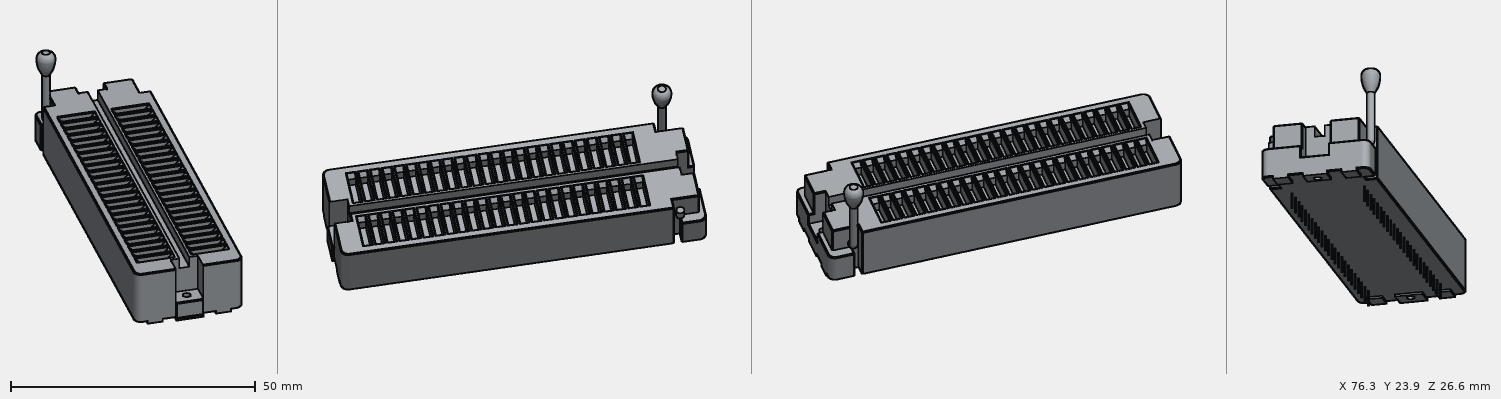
import cadquery as cq
import math


overall_length = 76.3
tab_length = 0.45
housing_length = overall_length - tab_length
housing_width = 22.9
housing_height = 11.6
corner_radius = 1.5
edge_chamfer = 0.2

block_length = 5.35
block_height = 6.25
tower_setback = 1.2
tower_half_width = 9.15
gap_end = 6.9

pocket_half_width = 2.9
pocket_floor = 3.75
front_pocket_depth = 3.8
rear_pocket_start = 72.0
mounting_hole_diameter = 1.6
mounting_hole_xs = (2.3, 73.8)

groove_width = 2.1
groove_depth = 2.3

contact_count = 24
slot_width = 2.1
slot_inner_y = 1.75
slot_outer_y = 9.8
slot_depth = 3.05
slot_end_ramp = 0.9
slot_side_chamfer = 0.2
first_slot_x = 12.6
slot_span = 57.5
slot_pitch = slot_span / (contact_count - 1)

foot_height = 0.45
front_foot_length = 3.6
rear_foot_start = 72.25
front_middle_foot_half_width = 2.5
side_foot_width = 3.2
side_foot_y = 7.25

pin_diameter = 0.3
pin_row_y = 7.6
pin_length = 3.2
first_pin_x = 10.45
pin_span = 58.45
pin_pitch = pin_span / (contact_count - 1)

rod_diameter = 1.7
rod_radius = rod_diameter / 2
bend_radius = rod_radius
lever_x = 5.4
arm_y = 10.4
axle_z = 7.3
stub_top = 9.3
knob_radius = 2.0
knob_bottom = 18.2
knob_widest_z = 22.0
knob_top = 23.4


def box(x_range, y_range, z_range):
    """Box between two limits on each axis."""
    (x0, x1), (y0, y1), (z0, z1) = x_range, y_range, z_range
    return cq.Workplane("XY").box(x1 - x0, y1 - y0, z1 - z0, centered=False).translate((x0, y0, z0))


def make_tall_part():
    """Full-height part: full width behind the shoulder, a narrower tower with the pocket in front."""
    half_width = housing_width / 2
    half_outline = [
        (front_pocket_depth, pocket_half_width),
        (tower_setback, pocket_half_width),
        (tower_setback, tower_half_width),
        (gap_end, tower_half_width),
        (gap_end, half_width),
        (housing_length, half_width),
    ]
    outline = half_outline + [(x, -y) for x, y in reversed(half_outline)]
    part = cq.Workplane("XY").polyline(outline).close().extrude(housing_height)
    part = part.edges("|Z and >X").fillet(corner_radius)

    corners = [(tower_setback, pocket_half_width), (tower_setback, tower_half_width), (gap_end, half_width)]
    for x, y in corners:
        for side in (1, -1):
            nearest = cq.selectors.NearestToPointSelector((x, side * y, housing_height / 2))
            part = part.edges("|Z").edges(nearest).chamfer(edge_chamfer)

    pocket_back = cq.selectors.NearestToPointSelector((front_pocket_depth, 0, housing_height))
    rim = part.faces(">Z").edges()
    back_edge = rim.edges(pocket_back).val()
    softened_rim = [edge for edge in rim.vals() if not edge.isSame(back_edge)]
    part = part.newObject(softened_rim).chamfer(edge_chamfer)
    return part.faces("<Z").edges().chamfer(edge_chamfer)


def make_front_block():
    """Low block under the lever, with rounded front corners, the pocket and softened edges."""
    half_width = housing_width / 2
    block = box((0, block_length), (-half_width, half_width), (0, block_height))
    block = block.edges("|Z and >X").chamfer(edge_chamfer)
    block = block.edges("|Z and <X").fillet(corner_radius)
    pocket = box(
        (0, front_pocket_depth),
        (-pocket_half_width, pocket_half_width),
        (pocket_floor, block_height),
    )
    block = block.cut(pocket)
    mouth = cq.selectors.BoxSelector(
        (-edge_chamfer, -pocket_half_width - edge_chamfer, pocket_floor - edge_chamfer),
        (edge_chamfer, pocket_half_width + edge_chamfer, block_height - edge_chamfer),
    )
    block = block.edges(mouth).chamfer(edge_chamfer)
    return block.faces("<Z or >Z").edges().chamfer(edge_chamfer)


def make_rear_tab():
    """Tab that carries the rear pocket floor out past the end face, with softened outer edges."""
    tab = box(
        (rear_pocket_start, overall_length),
        (-pocket_half_width, pocket_half_width),
        (0, pocket_floor),
    )
    return tab.faces(">X").edges().chamfer(edge_chamfer)


def make_feet():
    """Three feet under each end; the middle rear foot reaches out under the tab."""
    front = (0, front_foot_length)
    side_inner = side_foot_y - side_foot_width / 2
    side_outer = side_foot_y + side_foot_width / 2
    heights = (-foot_height, edge_chamfer)

    feet = box(
        (rear_foot_start, overall_length),
        (-pocket_half_width, pocket_half_width),
        (-foot_height, 0),
    )
    feet = feet.union(box(front, (-front_middle_foot_half_width, front_middle_foot_half_width), heights))
    for x_range in (front, (rear_foot_start, housing_length)):
        for y_range in ((side_inner, side_outer), (-side_outer, -side_inner)):
            feet = feet.union(box(x_range, y_range, heights))
    return feet


def make_slot_cutter():
    """Contact slot with chamfered long sides and ramped ends, centred on X = 0 on the +Y side."""
    top = housing_height
    bottom = top - slot_depth
    ramp_top = top - slot_side_chamfer
    half = slot_width / 2
    side_profile = [
        (slot_inner_y, top),
        (slot_inner_y, ramp_top),
        (slot_inner_y + slot_end_ramp, ramp_top - slot_end_ramp),
        (slot_inner_y + slot_end_ramp, bottom),
        (slot_outer_y - slot_end_ramp, bottom),
        (slot_outer_y - slot_end_ramp, ramp_top - slot_end_ramp),
        (slot_outer_y, ramp_top),
        (slot_outer_y, top),
    ]
    end_profile = [
        (-half, top),
        (-half + slot_side_chamfer, top - slot_side_chamfer),
        (-half + slot_side_chamfer, bottom),
        (half - slot_side_chamfer, bottom),
        (half - slot_side_chamfer, top - slot_side_chamfer),
        (half, top),
    ]
    lengthwise = cq.Workplane("YZ").polyline(side_profile).close().extrude(half, both=True)
    crosswise = cq.Workplane("XZ").polyline(end_profile).close().extrude(-housing_width / 2)
    return lengthwise.intersect(crosswise)


def make_housing():
    """Housing with its feet and solder pins as one solid."""
    housing = make_tall_part().union(make_front_block())

    rear_pocket = box(
        (rear_pocket_start, overall_length),
        (-pocket_half_width, pocket_half_width),
        (pocket_floor, housing_height),
    )
    groove = box(
        (front_pocket_depth, rear_pocket_start),
        (-groove_width / 2, groove_width / 2),
        (housing_height - groove_depth, housing_height),
    )
    housing = housing.cut(rear_pocket).cut(groove).union(make_rear_tab()).union(make_feet())

    mounting_holes = (
        cq.Workplane("XY", origin=(0, 0, -foot_height))
        .pushPoints([(x, 0) for x in mounting_hole_xs])
        .circle(mounting_hole_diameter / 2)
        .extrude(housing_height)
    )
    axle_bore = (
        cq.Workplane("XZ", origin=(lever_x, 0, axle_z))
        .circle(rod_radius)
        .extrude(housing_width / 2, both=True)
    )
    housing = housing.cut(mounting_holes).cut(axle_bore)

    slot = make_slot_cutter().val()
    second_row_offset = -slot_inner_y - slot_outer_y
    slots = [
        slot.translate(cq.Vector(first_slot_x + i * slot_pitch, y, 0))
        for i in range(contact_count)
        for y in (0, second_row_offset)
    ]
    housing = housing.cut(cq.Workplane(cq.Compound.makeCompound(slots)))

    pin_places = [
        (first_pin_x + i * pin_pitch, y)
        for i in range(contact_count)
        for y in (pin_row_y, -pin_row_y)
    ]
    pins = (
        cq.Workplane("XY", origin=(0, 0, -pin_length))
        .pushPoints(pin_places)
        .circle(pin_diameter / 2)
        .extrude(pin_length + edge_chamfer)
    )
    return housing.union(pins)


def make_knob():
    """Turned knob: a long curved taper below its widest ring and a flat-topped dome above."""

    def bulge(end_z):
        """Point halfway round the arc that leaves the widest ring upright and ends at the rod radius."""
        height = end_z - knob_widest_z
        inset = knob_radius - rod_radius
        arc_radius = (height**2 + inset**2) / (2 * inset)
        half_angle = math.asin(abs(height) / arc_radius) / 2
        r = knob_radius - arc_radius * (1 - math.cos(half_angle))
        return r, knob_widest_z + math.copysign(arc_radius * math.sin(half_angle), height)

    return (
        cq.Workplane("XZ")
        .moveTo(0, knob_bottom)
        .lineTo(rod_radius, knob_bottom)
        .threePointArc(bulge(knob_bottom), (knob_radius, knob_widest_z))
        .threePointArc(bulge(knob_top), (rod_radius, knob_top))
        .lineTo(0, knob_top)
        .close()
        .revolve(360, (0, 0), (0, 1))
        .translate((lever_x, -arm_y, 0))
    )


def make_lever():
    """Rod bent up at both ends of its axle: a long handle with a knob, and a short stub."""
    bend_z = axle_z + bend_radius
    axle_half = arm_y - bend_radius
    bend_offset = bend_radius * (1 - math.sqrt(0.5))
    path = (
        cq.Workplane("YZ", origin=(lever_x, 0, 0))
        .moveTo(-arm_y, knob_bottom)
        .lineTo(-arm_y, bend_z)
        .threePointArc((-arm_y + bend_offset, axle_z + bend_offset), (-axle_half, axle_z))
        .lineTo(axle_half, axle_z)
        .threePointArc((arm_y - bend_offset, axle_z + bend_offset), (arm_y, bend_z))
        .lineTo(arm_y, stub_top)
    )
    rod = cq.Workplane("XY", origin=(lever_x, -arm_y, knob_bottom)).circle(rod_radius).sweep(path)
    return rod.union(make_knob())


housing = make_housing().solids()
lever = make_lever().solids()
result = cq.Compound.makeCompound([housing.val(), lever.val()])